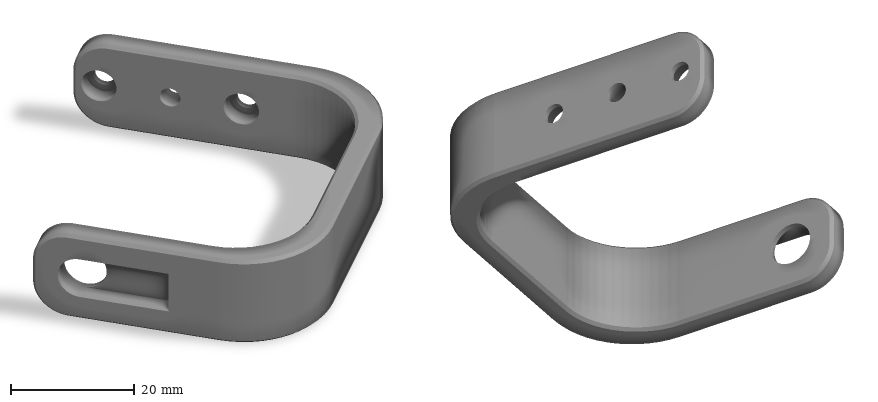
import cadquery as cq

length = 54.9
width = 57.5
height = 16.2
wall = 4.0
short_arm_setback = 8.45
outer_bend_radius = 15.0
inner_bend_radius = 13.0
arm_end_radius = 6.0
edge_chamfer = 0.5

screw_diameter = 3.5
counterbore_diameter = 6.0
counterbore_depth = 3.0
end_to_first_hole = 4.4
hole_pitch = 12.0

access_diameter = 7.4
slot_length = 15.0
slot_depth = 3.0

back_x = length / 2
long_end_x = -length / 2
short_end_x = long_end_x + short_arm_setback
outer_y = width / 2
inner_y = outer_y - wall
first_hole_x = long_end_x + end_to_first_hole
middle_hole_x = first_hole_x + hole_pitch
last_hole_x = middle_hole_x + hole_pitch


def block(x_min, x_max, half_width, bend_radius):
    """Full-height block with its two +X corners rounded."""
    return (
        cq.Workplane("XY")
        .box(x_max - x_min, 2 * half_width, height)
        .translate(((x_min + x_max) / 2, 0, 0))
        .edges("|Z and >X")
        .fillet(bend_radius)
    )


def make_body():
    """U-shaped strip with rounded arm ends and chamfered rims."""
    body = block(long_end_x, back_x, outer_y, outer_bend_radius)
    body = body.cut(block(long_end_x, back_x - wall, inner_y, inner_bend_radius))
    setback = (
        cq.Workplane("XY")
        .box(short_arm_setback, wall, height)
        .translate((long_end_x + short_arm_setback / 2, -outer_y + wall / 2, 0))
    )
    body = body.cut(setback)
    long_end_edges = body.faces("<X").edges("|Y").vals()
    short_end_face = body.faces(cq.NearestToPointSelector((short_end_x, -outer_y + wall / 2, 0)))
    short_end_edges = short_end_face.edges("|Y").vals()
    body = body.newObject(long_end_edges + short_end_edges).fillet(arm_end_radius)

    outer_rim = body.faces(">Y or <Y").edges().vals()
    inner_faces = body.faces(
        cq.NearestToPointSelector((middle_hole_x, inner_y, 0))
    )
    return body.newObject(outer_rim[:1] + inner_faces.edges("|X").vals()[:1]).chamfer(edge_chamfer)


def cylinder_along_y(diameter, x, y_start, depth):
    """Cylinder running in +Y from y_start."""
    return cq.Workplane("XZ", origin=(x, y_start, 0)).circle(diameter / 2).extrude(-depth)


def cut_screw_holes(body):
    """Three through holes, the outer two counterbored from the inside."""
    for x in (first_hole_x, middle_hole_x, last_hole_x):
        body = body.cut(cylinder_along_y(screw_diameter, x, inner_y, wall))
    for x in (first_hole_x, last_hole_x):
        body = body.cut(cylinder_along_y(counterbore_diameter, x, inner_y, counterbore_depth))
    return body


def cut_keyhole(body):
    """Through access hole with a square-ended blind slot on the outside."""
    slot = (
        cq.Workplane("XY")
        .box(slot_length, slot_depth, access_diameter)
        .translate((middle_hole_x + slot_length / 2, -outer_y + slot_depth / 2, 0))
    )
    access = cylinder_along_y(access_diameter, middle_hole_x, -outer_y, wall)
    return body.cut(slot).cut(access)


result = cut_keyhole(cut_screw_holes(make_body()))